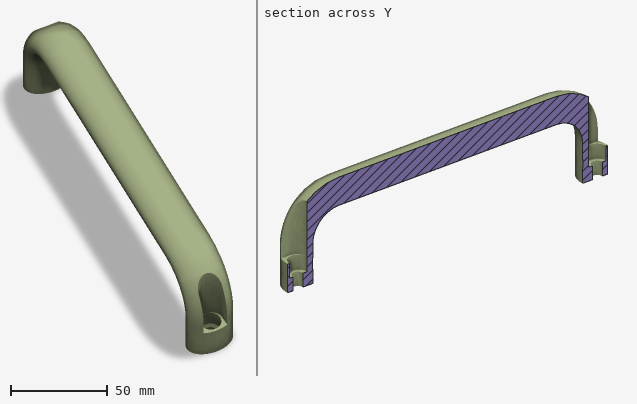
import cadquery as cq

length = 210.0
height = 57.0

section_depth = 26.0
section_thickness = 16.8

leg_straight = 23.3
bend_radius = height - leg_straight - section_thickness / 2
leg_x = (length - section_thickness) / 2
bar_half = leg_x - bend_radius
bar_z = height - section_thickness / 2

screw_x = length / 2 - 7.0
screw_hole_diameter = 6.3
head_recess_diameter = 11.1
head_recess_floor = 8.5
pocket_width = 13.5
pocket_end_depth = 5.7
pocket_floor = 17.0


def handle_bar():
    """Elliptical section swept along leg, bend, bar, bend and leg."""
    path = (
        cq.Workplane("XZ")
        .moveTo(-leg_x, 0)
        .lineTo(-leg_x, leg_straight)
        .radiusArc((-bar_half, bar_z), bend_radius)
        .lineTo(bar_half, bar_z)
        .radiusArc((leg_x, leg_straight), bend_radius)
        .lineTo(leg_x, 0)
    )
    section = cq.Workplane("XY").center(-leg_x, 0)
    return section.ellipse(section_thickness / 2, section_depth / 2).sweep(path)


def vertical_cylinder(x, diameter, bottom):
    """Cylinder from the given height up past the top of the handle."""
    return cq.Workplane("XY", origin=(x, 0, bottom)).circle(diameter / 2).extrude(height)


def screw_access(side):
    """Through hole, head recess and elliptical-ended pocket open to the outer end of one leg."""
    x = side * screw_x
    pocket_plane = cq.Workplane("XY", origin=(x, 0, pocket_floor))
    pocket_end = pocket_plane.ellipse(pocket_end_depth, pocket_width / 2).extrude(height)
    pocket_mouth = (
        pocket_plane.center(side * pocket_width / 2, 0)
        .rect(pocket_width, pocket_width)
        .extrude(height)
    )
    return (
        vertical_cylinder(x, screw_hole_diameter, 0)
        .union(vertical_cylinder(x, head_recess_diameter, head_recess_floor))
        .union(pocket_end)
        .union(pocket_mouth)
    )


result = handle_bar()
for side in (-1, 1):
    result = result.cut(screw_access(side))